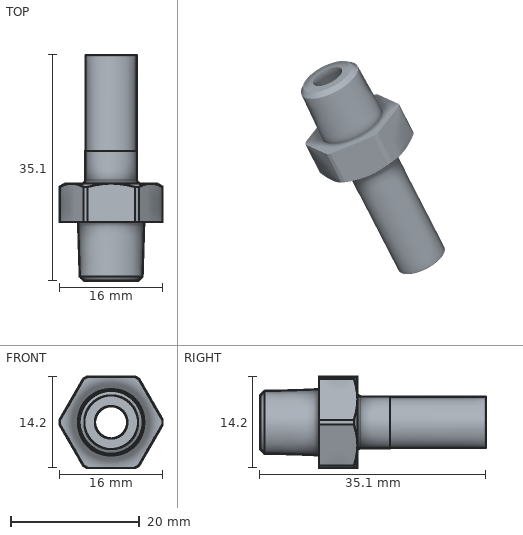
import cadquery as cq
import math

total_length = 35.1
thread_length = 9.13
hex_width = 5.95
hex_end = thread_length + hex_width

tube_diameter = 8.0
tube_radius = tube_diameter / 2
neck_diameter = 8.07
neck_radius = neck_diameter / 2
neck_end = 20.2
tube_end_rounding = 0.2
root_fillet = 0.53

thread_large_diameter = 10.32
thread_taper = 1 / 16
thread_chamfer_length = 0.7
end_face_diameter = 8.35

across_flats = 14.2
across_corners = 16.0
hex_chamfer_angle = 30.0

bore_diameter = 5.0


def revolve_about_y(profile):
    """Turn a closed profile of (radius, y) about the Y axis."""
    return profile.close().revolve(360, (0, 0, 0), (0, 1, 0))


def make_thread_body():
    taper_length = thread_length - thread_chamfer_length
    thread_small_diameter = thread_large_diameter - taper_length * thread_taper
    return revolve_about_y(
        cq.Workplane("XY")
        .moveTo(0, 0)
        .lineTo(end_face_diameter / 2, 0)
        .lineTo(thread_small_diameter / 2, thread_chamfer_length)
        .lineTo(thread_large_diameter / 2, thread_length)
        .lineTo(0, thread_length)
    )


def make_hexagon():
    """Hexagon with turned corners and a conical chamfer facing the tube."""
    prism = (
        cq.Workplane("XZ", origin=(0, thread_length, 0))
        .polygon(6, across_flats / math.cos(math.pi / 6))
        .extrude(-hex_width)
    )
    corner_radius = across_corners / 2
    face_radius = across_flats / 2
    chamfer_depth = (corner_radius - face_radius) * math.tan(math.radians(hex_chamfer_angle))
    turned_blank = revolve_about_y(
        cq.Workplane("XY")
        .moveTo(0, thread_length)
        .lineTo(corner_radius, thread_length)
        .lineTo(corner_radius, hex_end - chamfer_depth)
        .lineTo(face_radius, hex_end)
        .lineTo(0, hex_end)
    )
    return prism.intersect(turned_blank)


def make_tube():
    """Tube stub on a slightly thicker neck, with a concave fillet at the hexagon and a rounded end."""
    rounding_offset = tube_end_rounding * (1 - math.sqrt(0.5))
    fillet_offset = root_fillet * (1 - math.sqrt(0.5))
    return revolve_about_y(
        cq.Workplane("XY")
        .moveTo(0, thread_length)
        .lineTo(neck_radius, thread_length)
        .lineTo(neck_radius + root_fillet, hex_end)
        .threePointArc(
            (neck_radius + fillet_offset, hex_end + fillet_offset),
            (neck_radius, hex_end + root_fillet),
        )
        .lineTo(neck_radius, neck_end)
        .lineTo(tube_radius, neck_end)
        .lineTo(tube_radius, total_length - tube_end_rounding)
        .threePointArc(
            (tube_radius - rounding_offset, total_length - rounding_offset),
            (tube_radius - tube_end_rounding, total_length),
        )
        .lineTo(0, total_length)
    )


bore = cq.Workplane("XZ").circle(bore_diameter / 2).extrude(-total_length)

result = make_thread_body().union(make_hexagon()).union(make_tube()).cut(bore)